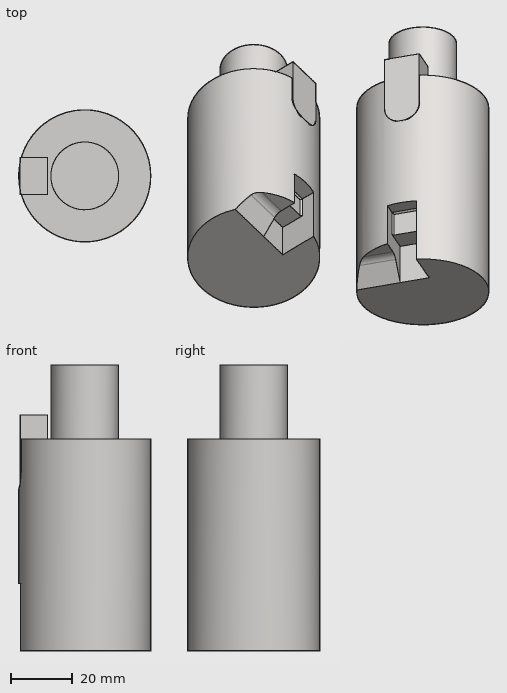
import cadquery as cq
import math

total_height = 93.0
housing_diameter = 43.0
housing_height = 68.9
shaft_diameter = 22.0

key_width = 12.0
key_depth = 8.9
key_outer_x = -21.0
key_top_z = 76.7
key_bottom_z = 52.5

slot_width = 9.95
slot_height = 21.9
slot_floor_x = -15.7
slot_edge_chamfer = 0.6
deep_slot_height = 13.6
deep_slot_floor_x = -8.1

ramp_roof_z = 7.6
ramp_angle = 36.0
ramp_fillet = 3.35

housing_radius = housing_diameter / 2
cut_outer_x = -housing_radius - 0.9
ramp_top_x = deep_slot_floor_x - ramp_roof_z * math.tan(math.radians(ramp_angle))


def make_key():
    """Key with a flat top and a semicircular lower end."""
    half_width = key_width / 2
    arc_center_z = key_bottom_z + half_width
    return (
        cq.Workplane("YZ", origin=(key_outer_x, 0, 0))
        .moveTo(-half_width, key_top_z)
        .lineTo(-half_width, arc_center_z)
        .threePointArc((0, key_bottom_z), (half_width, arc_center_z))
        .lineTo(half_width, key_top_z)
        .close()
        .extrude(key_depth)
    )


def make_keyway():
    """The key's seat, open outward to the side of the housing."""
    key = make_key()
    return key.union(key.translate((cut_outer_x - key_outer_x, 0, 0)))


def make_slot():
    """Stepped slot: chamfered shallow floor above a deeper floor."""
    shallow = (
        cq.Workplane("XY")
        .box(slot_floor_x - cut_outer_x, slot_width, slot_height, centered=(False, True, False))
        .translate((cut_outer_x, 0, 0))
        .faces(">X")
        .edges("|Z or >Z")
        .chamfer(slot_edge_chamfer)
    )
    deep = (
        cq.Workplane("XY")
        .box(deep_slot_floor_x - cut_outer_x, slot_width, deep_slot_height, centered=(False, True, False))
        .translate((cut_outer_x, 0, 0))
    )
    return shallow.union(deep)


def make_ramp_cut():
    """Relief beside the slot on its +Y side, with a flat roof blending into a ramp."""
    return (
        cq.Workplane("XZ")
        .moveTo(cut_outer_x, 0)
        .lineTo(deep_slot_floor_x, 0)
        .lineTo(ramp_top_x, ramp_roof_z)
        .lineTo(cut_outer_x, ramp_roof_z)
        .close()
        .extrude(-housing_radius)
        .edges(cq.selectors.NearestToPointSelector((ramp_top_x, housing_radius / 2, ramp_roof_z)))
        .fillet(ramp_fillet)
    )


def make_housing():
    return (
        cq.Workplane("XY")
        .circle(housing_radius)
        .extrude(housing_height)
        .cut(make_keyway())
        .cut(make_slot())
        .cut(make_ramp_cut())
    )


def make_shaft():
    """Round shaft standing on the top face of the housing."""
    return (
        cq.Workplane("XY", origin=(0, 0, housing_height))
        .circle(shaft_diameter / 2)
        .extrude(total_height - housing_height)
    )


housing = make_housing()
key = make_key()
shaft = make_shaft()

result = cq.Compound.makeCompound([housing.solids().val(), key.val(), shaft.val()])